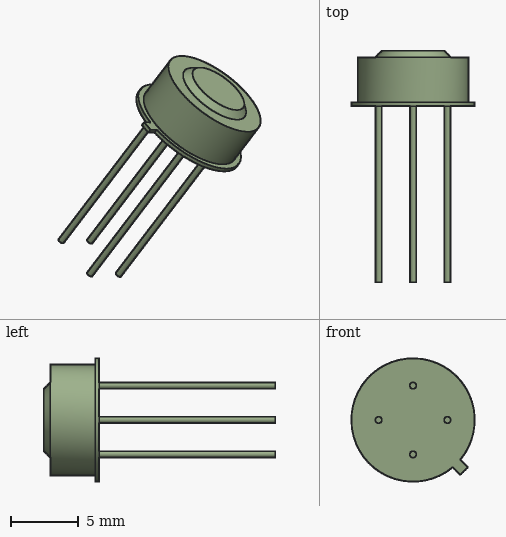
import cadquery as cq

flange_diameter = 9.12
flange_thickness = 0.3
can_diameter = 8.2
can_top = 3.6
cap_base_diameter = 5.6
cap_height = 0.5
cap_inset = cap_height
pin_diameter = 0.48
pin_length = 13.0
pin_circle_radius = 2.54
pin_count = 4
tab_width = 0.8
tab_reach = 5.33
tab_angle = 45.0


def make_body():
    """Flange, can and conical cap, revolved about the Y axis."""
    cap_base_radius = cap_base_diameter / 2
    cap_top = can_top + cap_height
    profile = (
        cq.Workplane("XY")
        .moveTo(0, 0)
        .lineTo(flange_diameter / 2, 0)
        .lineTo(flange_diameter / 2, flange_thickness)
        .lineTo(can_diameter / 2, flange_thickness)
        .lineTo(can_diameter / 2, can_top)
        .lineTo(cap_base_radius, can_top)
        .lineTo(cap_base_radius - cap_inset, cap_top)
        .lineTo(0, cap_top)
        .close()
    )
    return profile.revolve(360, (0, 0, 0), (0, 1, 0))


def make_tab():
    """Orientation tab in the plane of the flange, starting at the part axis."""
    tab = cq.Workplane("XY").box(tab_reach, flange_thickness, tab_width, centered=(False, False, True))
    return tab.rotate((0, 0, 0), (0, 1, 0), tab_angle)


def make_pins():
    """Round lead wires on the pin circle, pointing along -Y."""
    return (
        cq.Workplane("XZ")
        .polarArray(pin_circle_radius, 0, 360, pin_count)
        .circle(pin_diameter / 2)
        .extrude(pin_length)
    )


result = make_body().union(make_tab()).union(make_pins())